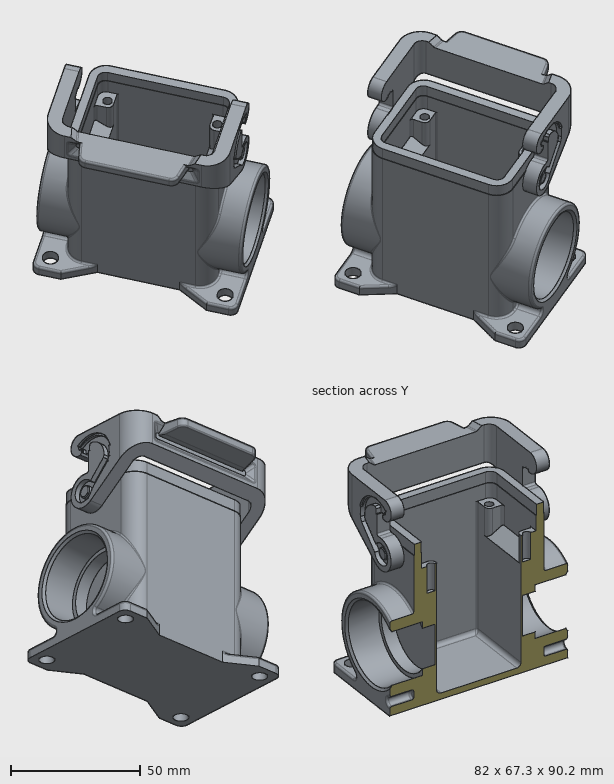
import cadquery as cq
import math


BODY_X = 60.0
BODY_Y = 43.3
BODY_CORNER_R = 7.15
BODY_TOP = 73.6
COLLAR_Z = 68.6
COLLAR_INSET = 0.2

OVERALL_X = 82.0
FOOT_Y = 57.4
FOOT_THICKNESS = 4.2
FOOT_CORNER_R = 3.0
FOOT_TIP_X = 29.2
FOOT_FLANK_ANGLE = 29.0
FOOT_OVERLAP = 1.0
FOOT_ROUND = 0.95
FOOT_HOLE_D = 6.2
FOOT_HOLE_X = 35.0
FOOT_HOLE_Y = 22.65

SPOUT_Z = 25.55
SPOUT_R = 21.6
BORE_R = 17.8
BORE_CHAMFER = 1.0
BORE_END_X = 26.0
KNOCKOUT_R = 16.0
KNOCKOUT_END_X = 20.3
COVE_R = 1.8
BASE_FILLET = 0.8

MOUTH_X = 52.8
MOUTH_Y = 35.9
MOUTH_CORNER_R = 3.2
MOUTH_DRAFT_STEP = 0.15
WELL_X = 38.6
WELL_FLOOR_Z = 3.0
WELL_FLOOR_R = 1.9
WELL_CORNER_R = 0.5
RAMP_TOP_Z = 53.0
RAMP_ANGLE = 30.0
POST_TOP_Z = 61.8
POST_INNER_Y = 10.25
POST_CORNER_R = 2.2
POST_WALL_R = 1.0
SCREW_HOLE_D = 3.6
SCREW_HOLE_DEPTH = 12.0
SCREW_X = 22.0
SCREW_Y = 13.5

LEVER_X = 72.85
LEVER_GAP_X = 60.9
LEVER_TOP = 90.2
LEVER_REACH = 29.75
LEVER_PLATE = 5.0
LEVER_OUTER_R = 9.0
LEVER_INNER_R = 3.5
PIVOT_Z = 64.6
PIVOT_BOSS_R = 7.1
LEVER_BACK_Z = 76.8
NOSE_R = 4.6
NOSE_POS = -2.6
HOOK_BACK = 2.88
HOOK_FILLET = 0.9
HOOK_LOW_Z = 81.1
HOOK_NOTCH_Z = 81.85
HOOK_NOTCH_START = -1.0
HOOK_NOTCH_END = 0.75
HOOK_NOTCH_CHAMFER = 0.7
HOOK_NOTCH_RUNOUT = 1.25
PIVOT_SHAFT_R = 3.0
SHAFT_EMBED = 1.0

TRACK_DEPTH = 2.2
TRACK_LEDGE_DEPTH = 1.0
TRACK_PIVOT_R = 4.75
TRACK_CENTRE = 3.64
TRACK_CENTRE_Z = 75.9
TRACK_OUTER_R = 11.2
TRACK_INNER_R = 8.2
TRACK_LEDGE_R = 11.9
TRACK_START_ANGLE = 126.0
TRACK_END_ANGLE = -8.0
TRACK_INNER_START_ANGLE = 85.0
TRACK_INNER_END_ANGLE = 0.0
TRACK_LEDGE_END_ANGLE = 15.0
TRACK_ARM_ANGLE = 44.0
TRACK_ARM_START = 2.0
TRACK_ARM_END = 15.3
TRACK_ARM_LOW = -4.1
TRACK_ARM_HIGH = -0.67
THROAT_TIP = -2.6
THROAT_STEP_Z = 83.6
THROAT_BACK = 3.5
THROAT_BACK_Z = 83.3
PIN_R = 2.6
PIN_CHAMFER = 0.4
PIN_HEIGHT = 1.7

GRIP_END_Y = -38.55
GRIP_TOP = 88.3
GRIP_ROOT_Z = 83.3
GRIP_TIP_Z = 84.4
GRIP_ROOT_HALF = 22.35
GRIP_TIP_HALF = 19.5
GRIP_CORNER_R = 3.3
GRIP_TOP_ROUND = 0.9
GRIP_LOW_ROUND = 0.6
GRIP_NOTCH_GAP = 1.1
GRIP_NOTCH_FLARE = 2.4
GRIP_NOTCH_R = 1.0
POCKET_HALF_X = 26.3
POCKET_LOW_Z = 78.75
POCKET_HIGH_Z = 87.1
POCKET_CORNER_R = 1.8
POCKET_RIM_R = 1.0
POCKET_DEPTH = 2.5
POCKET_TAPER = 49.0

SIDES = (-1, 1)


def rounded_block(size_x, size_y, z_low, z_high, corner_r):
    block = cq.Workplane("XY").workplane(offset=z_low).rect(size_x, size_y).extrude(z_high - z_low)
    return block.edges("|Z").fillet(corner_r)


def both_x(shape):
    return shape.union(shape.mirror("YZ"))


def nearest_edges(shape, x, y, z):
    """The four edges nearest to a point and its mirror images in X and Y."""
    picked = shape.newObject([])
    for side_x in SIDES:
        for side_y in SIDES:
            picked = picked.add(shape.edges(cq.selectors.NearestToPointSelector((side_x * x, side_y * y, z))))
    return picked


def body():
    lower = rounded_block(BODY_X, BODY_Y, 0, COLLAR_Z, BODY_CORNER_R)
    collar = rounded_block(
        BODY_X - 2 * COLLAR_INSET,
        BODY_Y - 2 * COLLAR_INSET,
        COLLAR_Z,
        BODY_TOP,
        BODY_CORNER_R - COLLAR_INSET,
    )
    return lower.union(collar)


def feet():
    """Plate across each end whose flanks slope back to the body sides."""
    half_y = FOOT_Y / 2
    inner_y = BODY_Y / 2 - FOOT_OVERLAP
    inner_x = FOOT_TIP_X - (half_y - inner_y) / math.tan(math.radians(FOOT_FLANK_ANGLE))
    plate = (
        cq.Workplane("XY")
        .moveTo(OVERALL_X / 2, half_y)
        .lineTo(FOOT_TIP_X, half_y)
        .lineTo(inner_x, inner_y)
        .lineTo(inner_x, -inner_y)
        .lineTo(FOOT_TIP_X, -half_y)
        .lineTo(OVERALL_X / 2, -half_y)
        .close()
        .extrude(FOOT_THICKNESS)
    )
    plate = plate.edges("|Z and >X").fillet(FOOT_CORNER_R)
    return both_x(plate)


def spout():
    """Round spout on the +X end, carried on a coved web that meets the foot plate."""
    length = OVERALL_X / 2
    cove_z = FOOT_THICKNESS + COVE_R
    cove_y = math.sqrt((SPOUT_R + COVE_R) ** 2 - (SPOUT_Z - cove_z) ** 2)
    barrel = cq.Workplane("YZ").center(0, SPOUT_Z).circle(SPOUT_R).extrude(length)
    tangent_z = cove_z + (SPOUT_Z - cove_z) * COVE_R / (SPOUT_R + COVE_R)
    web = cq.Workplane("YZ").center(0, tangent_z / 2).rect(2 * cove_y, tangent_z).extrude(length)
    coves = (
        cq.Workplane("YZ")
        .pushPoints([(side * cove_y, cove_z) for side in SIDES])
        .circle(COVE_R)
        .extrude(length)
    )
    return barrel.union(web.cut(coves))


def spout_recess():
    """Chamfered bore followed by a smaller blind knock-out."""
    end_x = OVERALL_X / 2
    return (
        cq.Workplane("XY")
        .polyline(
            [
                (KNOCKOUT_END_X, 0),
                (KNOCKOUT_END_X, KNOCKOUT_R),
                (BORE_END_X, KNOCKOUT_R),
                (BORE_END_X, BORE_R),
                (end_x - BORE_CHAMFER, BORE_R),
                (end_x, BORE_R + BORE_CHAMFER),
                (end_x, 0),
            ]
        )
        .close()
        .revolve(360, (0, 0, 0), (1, 0, 0))
        .translate((0, 0, SPOUT_Z))
    )


def cavity():
    """Open mouth narrowing over two ramps to a deep well between the spouts."""
    draft = 2 * MOUTH_DRAFT_STEP
    mouth = rounded_block(MOUTH_X, MOUTH_Y, COLLAR_Z, BODY_TOP, MOUTH_CORNER_R)
    wall_x = MOUTH_X - draft
    wall_y = MOUTH_Y - draft
    run = (wall_x - WELL_X) / 2
    ramp_low_z = RAMP_TOP_Z - run * math.tan(math.radians(RAMP_ANGLE))
    chamber = rounded_block(wall_x, wall_y, POST_TOP_Z, COLLAR_Z, MOUTH_CORNER_R)
    between_posts = rounded_block(wall_x, 2 * POST_INNER_Y, ramp_low_z, POST_TOP_Z, POST_WALL_R)
    funnel = (
        cq.Workplane("XZ")
        .polyline(
            [
                (WELL_X / 2, ramp_low_z),
                (wall_x / 2, RAMP_TOP_Z),
                (wall_x / 2, POST_TOP_Z),
                (-wall_x / 2, POST_TOP_Z),
                (-wall_x / 2, RAMP_TOP_Z),
                (-WELL_X / 2, ramp_low_z),
            ]
        )
        .close()
        .extrude(wall_y / 2, both=True)
    )
    well = rounded_block(WELL_X, wall_y, WELL_FLOOR_Z, POST_TOP_Z, WELL_CORNER_R)
    well = well.faces("<Z").edges().fillet(WELL_FLOOR_R)
    pit = well.union(between_posts.intersect(funnel))
    pit = nearest_edges(pit, WELL_X / 2, POST_INNER_Y, (ramp_low_z + POST_TOP_Z) / 2).fillet(POST_CORNER_R)
    return pit.union(chamber).union(mouth)


def screw_holes():
    return (
        cq.Workplane("XY")
        .workplane(offset=POST_TOP_Z - SCREW_HOLE_DEPTH)
        .rect(2 * SCREW_X, 2 * SCREW_Y, forConstruction=True)
        .vertices()
        .circle(SCREW_HOLE_D / 2)
        .extrude(SCREW_HOLE_DEPTH)
    )


def foot_holes():
    return (
        cq.Workplane("XY")
        .rect(2 * FOOT_HOLE_X, 2 * FOOT_HOLE_Y, forConstruction=True)
        .vertices()
        .circle(FOOT_HOLE_D / 2)
        .extrude(FOOT_THICKNESS)
    )


def round_outer_shell(shell):
    """Fill the corners where feet and spouts meet the body, then round their outer rims.

    Each chosen edge carries its rounding along every edge that follows it smoothly.
    """
    body_y = BODY_Y / 2
    half_y = FOOT_Y / 2
    flank_x = (half_y - body_y) / math.tan(math.radians(FOOT_FLANK_ANGLE))
    flat_end_x = BODY_X / 2 - BODY_CORNER_R
    root_x = (FOOT_TIP_X - flank_x + flat_end_x) / 2
    tip_x = (FOOT_TIP_X + OVERALL_X / 2 - FOOT_CORNER_R) / 2
    shell = nearest_edges(shell, root_x, body_y, FOOT_THICKNESS).fillet(BASE_FILLET)
    tips = nearest_edges(shell, tip_x, half_y, FOOT_THICKNESS)
    flanks = nearest_edges(shell, FOOT_TIP_X - flank_x / 2, (half_y + body_y) / 2, FOOT_THICKNESS)
    return tips.add(flanks).fillet(FOOT_ROUND)


def housing():
    shell = round_outer_shell(body().union(feet()).union(both_x(spout())))
    return shell.cut(both_x(spout_recess())).cut(foot_holes()).cut(cavity()).cut(screw_holes())


def side_plane(x=0.0):
    """Plane seen from -X: its first axis runs toward -Y and its second toward +Z."""
    return cq.Workplane(cq.Plane(origin=(x, 0, 0), xDir=(0, -1, 0), normal=(-1, 0, 0)))


def lever_profile():
    """Side outline of the lever: hooked nose, pivot boss and sloping lower edge."""
    nose_z = LEVER_TOP - NOSE_R
    rise = LEVER_BACK_Z - PIVOT_Z
    distance = math.hypot(LEVER_REACH, rise)
    tangent_angle = math.atan2(rise, LEVER_REACH) - math.acos(PIVOT_BOSS_R / distance)
    tangent = (
        PIVOT_BOSS_R * math.cos(tangent_angle),
        PIVOT_Z + PIVOT_BOSS_R * math.sin(tangent_angle),
    )
    boss_top = PIVOT_Z + PIVOT_BOSS_R
    outline = (
        side_plane()
        .moveTo(NOSE_POS, LEVER_TOP)
        .lineTo(LEVER_REACH, LEVER_TOP)
        .lineTo(LEVER_REACH, LEVER_BACK_Z)
        .lineTo(*tangent)
        .threePointArc((-PIVOT_BOSS_R, PIVOT_Z), (0, boss_top))
        .lineTo(HOOK_BACK - HOOK_FILLET, boss_top)
        .radiusArc((HOOK_BACK, boss_top + HOOK_FILLET), -HOOK_FILLET)
        .lineTo(HOOK_BACK, HOOK_LOW_Z)
        .lineTo(HOOK_NOTCH_END + HOOK_NOTCH_RUNOUT, HOOK_LOW_Z)
        .lineTo(HOOK_NOTCH_END, HOOK_NOTCH_Z)
        .lineTo(HOOK_NOTCH_START, HOOK_NOTCH_Z)
        .lineTo(HOOK_NOTCH_START - HOOK_NOTCH_CHAMFER, nose_z - NOSE_R)
        .lineTo(NOSE_POS, nose_z - NOSE_R)
        .threePointArc((NOSE_POS - NOSE_R, nose_z), (NOSE_POS, LEVER_TOP))
        .close()
    )
    return outline.extrude(LEVER_X / 2, both=True)


def lever_plan():
    """U-shaped plan of the lever, wrapping the -Y side of the body."""
    front_y = PIVOT_BOSS_R - NOSE_POS
    length = LEVER_REACH + front_y
    outer = (
        cq.Workplane("XY")
        .box(LEVER_X, length, LEVER_TOP, centered=(True, False, False))
        .translate((0, -LEVER_REACH, 0))
        .edges("|Z and <Y")
        .fillet(LEVER_OUTER_R)
    )
    inner = (
        cq.Workplane("XY")
        .box(LEVER_GAP_X, length, LEVER_TOP, centered=(True, False, False))
        .translate((0, LEVER_PLATE - LEVER_REACH, 0))
        .edges("|Z and <Y")
        .fillet(LEVER_INNER_R)
    )
    return outer.cut(inner)


def track_point(radius, degrees):
    angle = math.radians(degrees)
    return (TRACK_CENTRE + radius * math.cos(angle), TRACK_CENTRE_Z + radius * math.sin(angle))


def track_arc(outline, radius, start, end):
    """Continue an outline with an arc about the track centre; the outline is already at the start."""
    return outline.threePointArc(track_point(radius, (start + end) / 2), track_point(radius, end))


def arm_point(along, across):
    """Point on the straight part of the track, measured from the pivot along and across it."""
    angle = math.radians(TRACK_ARM_ANGLE)
    return (
        along * math.cos(angle) - across * math.sin(angle),
        PIVOT_Z + along * math.sin(angle) + across * math.cos(angle),
    )


def arm_track():
    """Curved recess in the -X arm, from the hook throat round to the pivot."""
    outer_face = -LEVER_X / 2
    outline = side_plane(outer_face).moveTo(*track_point(TRACK_OUTER_R, TRACK_START_ANGLE))
    outline = (
        track_arc(outline, TRACK_OUTER_R, TRACK_START_ANGLE, TRACK_END_ANGLE)
        .lineTo(*arm_point(TRACK_ARM_END, TRACK_ARM_LOW))
        .lineTo(*arm_point(TRACK_ARM_START, TRACK_ARM_LOW))
        .lineTo(*arm_point(TRACK_ARM_START, TRACK_ARM_HIGH))
        .lineTo(*arm_point(TRACK_ARM_END, TRACK_ARM_HIGH))
        .lineTo(*track_point(TRACK_INNER_R, TRACK_INNER_END_ANGLE))
    )
    outline = (
        track_arc(outline, TRACK_INNER_R, TRACK_INNER_END_ANGLE, TRACK_INNER_START_ANGLE)
        .lineTo(THROAT_BACK, THROAT_BACK_Z)
        .lineTo(THROAT_BACK, HOOK_LOW_Z)
        .lineTo(HOOK_NOTCH_START, HOOK_LOW_Z)
        .lineTo(HOOK_NOTCH_START, THROAT_STEP_Z)
        .lineTo(THROAT_TIP, THROAT_STEP_Z)
        .close()
    )
    track = outline.extrude(-TRACK_DEPTH)

    hub = side_plane(outer_face).center(0, PIVOT_Z).circle(TRACK_PIVOT_R).extrude(-TRACK_DEPTH)

    rim = (
        side_plane(outer_face)
        .moveTo(*track_point(TRACK_INNER_R, TRACK_START_ANGLE))
        .lineTo(*track_point(TRACK_LEDGE_R, TRACK_START_ANGLE))
    )
    rim = track_arc(rim, TRACK_LEDGE_R, TRACK_START_ANGLE, TRACK_LEDGE_END_ANGLE)
    rim = rim.lineTo(*track_point(TRACK_INNER_R, TRACK_LEDGE_END_ANGLE))
    rim = track_arc(rim, TRACK_INNER_R, TRACK_LEDGE_END_ANGLE, TRACK_START_ANGLE)
    ledge = rim.close().extrude(-TRACK_LEDGE_DEPTH)
    return track.union(hub).union(ledge)


def pivot_pin():
    """Chamfered pin head standing in the -X track, with the shaft that joins arm and body."""
    floor_x = -LEVER_X / 2 + TRACK_DEPTH
    head = side_plane(floor_x).center(0, PIVOT_Z).circle(PIN_R).extrude(PIN_HEIGHT)
    head = head.faces("<X").chamfer(PIN_CHAMFER)
    shaft_length = BODY_X / 2 + floor_x - SHAFT_EMBED
    shaft = side_plane(floor_x).center(0, PIVOT_Z).circle(PIVOT_SHAFT_R).extrude(shaft_length)
    return head.union(shaft)


def grip_plan(half_root, half_tip, z):
    """Trapezoid plan of the grip at height z, root at the inner face of the back plate."""
    root_y = LEVER_PLATE - LEVER_REACH
    return (
        cq.Workplane("XY")
        .workplane(offset=z)
        .polyline(
            [
                (-half_root, root_y),
                (half_root, root_y),
                (half_tip, GRIP_END_Y),
                (-half_tip, GRIP_END_Y),
            ]
        )
        .close()
    )


def grip():
    blank = grip_plan(GRIP_ROOT_HALF, GRIP_TIP_HALF, GRIP_ROOT_Z).extrude(GRIP_TOP - GRIP_ROOT_Z)
    blank = blank.edges("(not #Z) and <Y").fillet(GRIP_CORNER_R)
    plate_y = -LEVER_REACH
    profile = (
        cq.Workplane("YZ")
        .polyline(
            [
                (plate_y + LEVER_PLATE, GRIP_TOP),
                (GRIP_END_Y, GRIP_TOP),
                (GRIP_END_Y, GRIP_TIP_Z),
                (plate_y, GRIP_ROOT_Z),
                (plate_y + LEVER_PLATE, GRIP_ROOT_Z),
            ]
        )
        .close()
        .extrude(GRIP_ROOT_HALF, both=True)
    )
    blank = blank.intersect(profile)
    blank = blank.faces(">Z").edges("not >Y").fillet(GRIP_TOP_ROUND)
    low_edge = cq.selectors.NearestToPointSelector((0, GRIP_END_Y, GRIP_TIP_Z))
    return blank.edges(low_edge).fillet(GRIP_LOW_ROUND)


def grip_notch():
    """Flared clearance through the top of the back plate, above the grip."""
    rise = LEVER_TOP - GRIP_TOP
    root = GRIP_ROOT_HALF + GRIP_NOTCH_GAP
    tip = GRIP_TIP_HALF + GRIP_NOTCH_GAP
    return (
        grip_plan(root, tip, GRIP_TOP)
        .workplane(offset=rise)
        .polyline(
            [
                (-root - GRIP_NOTCH_FLARE, LEVER_PLATE - LEVER_REACH),
                (root + GRIP_NOTCH_FLARE, LEVER_PLATE - LEVER_REACH),
                (tip + GRIP_NOTCH_FLARE, GRIP_END_Y),
                (-tip - GRIP_NOTCH_FLARE, GRIP_END_Y),
            ]
        )
        .close()
        .loft(ruled=True)
        .edges("<Z and (not |X)")
        .fillet(GRIP_NOTCH_R)
    )


def finger_pocket():
    """Tapered pocket in the -Y face of the back plate, behind the grip."""
    return (
        cq.Workplane("XZ", origin=(0, -LEVER_REACH, (POCKET_LOW_Z + POCKET_HIGH_Z) / 2))
        .rect(2 * POCKET_HALF_X, POCKET_HIGH_Z - POCKET_LOW_Z)
        .extrude(-POCKET_DEPTH, taper=POCKET_TAPER)
        .edges("not #Y")
        .edges("not |X")
        .edges("not |Z")
        .fillet(POCKET_CORNER_R)
    )


def lever():
    frame = lever_plan().intersect(lever_profile())
    frame = frame.cut(finger_pocket())
    rim_edge = cq.selectors.NearestToPointSelector((0, -LEVER_REACH, POCKET_LOW_Z))
    frame = frame.edges(rim_edge).fillet(POCKET_RIM_R)
    frame = frame.cut(grip_notch()).union(grip())
    return frame.cut(both_x(arm_track())).union(both_x(pivot_pin()))


result = housing().union(lever())